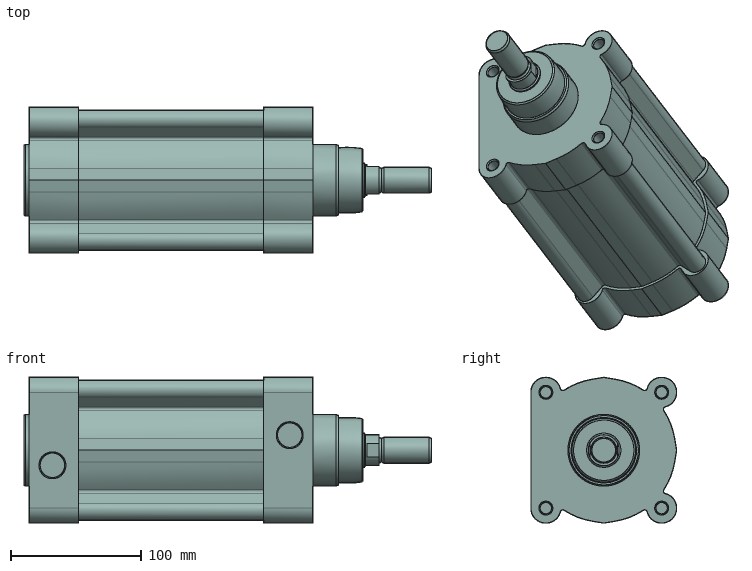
import cadquery as cq
import math

TOTAL_LENGTH = 313.0
REAR_CAP_START = 4.0
CAP_LENGTH = 38.0
BARREL_LENGTH = 142.0
BARREL_START = REAR_CAP_START + CAP_LENGTH
FRONT_CAP_START = BARREL_START + BARREL_LENGTH
FRONT_CAP_END = FRONT_CAP_START + CAP_LENGTH

RIDGE_HALF_SPAN = 9.0

HALF_WIDTH = 56.0
CAP_LUG_RADIUS = 11.5
LUG_OFFSET = HALF_WIDTH - CAP_LUG_RADIUS
CAP_CORNER_FILLET = 2.0
FLAT_SIDE_DEPTH = 1.5 * CAP_LUG_RADIUS

BARREL_HALF_WIDTH = 53.8
RAIL_RADIUS = 7.5
RAIL_OFFSET = BARREL_HALF_WIDTH - RAIL_RADIUS
BARREL_CORNER_FILLET = 2.2

SCREW_HOLE_RADIUS = 4.5
SCREW_HOLE_DEPTH = 25.0
SCREW_MOUTH_RADIUS = 5.3
SCREW_MOUTH_DEPTH = 1.0

PORT_RADIUS = 9.5
PORT_DEPTH = 25.0
PORT_MOUTH_RADIUS = 10.3
PORT_MOUTH_DEPTH = 2.0
PORT_INSET = 17.8
PORT_HEIGHT = 11.5

BOSS_RADIUS = 27.5
REAR_BOSS_TAPER_LENGTH = 1.3
REAR_BOSS_TAPER_DEPTH = 0.5
NOSE_CHAMFER_START = 239.8
NOSE_CHAMFER_END = 241.5
NOSE_CHAMFER_RADIUS = 26.5
COLLAR_BASE_RADIUS = 25.0
COLLAR_CROWN_X = 249.0
COLLAR_CROWN_RADIUS = 25.5
COLLAR_RIM_X = 259.5
COLLAR_RIM_RADIUS = 24.5
COLLAR_END_X = 260.5
COLLAR_END_RADIUS = 23.2
LIP_RADIUS = 13.0
LIP_TAPER_X = 261.5
LIP_END_X = 262.3

ROD_RADIUS = 12.0
ROD_SHOULDER_X = 272.5
FLAT_START_X = 263.2
FLAT_HALF_WIDTH = 10.5
NECK_X = 274.5
NECK_RADIUS = 9.0
THREAD_START_X = 276.5
THREAD_RADIUS = 10.0
THREAD_CHAMFER_LENGTH = 2.0
THREAD_CHAMFER_DEPTH = 1.0

EDGE_TOLERANCE = 0.03

CORNERS = [(y, z) for y in (-1, 1) for z in (-1, 1)]


def ridge_angle(crest_height):
    """Angle about X from a crest to the tangent point of its flats (radians)."""
    return math.asin(2 * RIDGE_HALF_SPAN / crest_height) / 2


def round_radius_under(crest_height):
    """Radius of the round whose tangent flats meet at the crest height."""
    return crest_height * math.cos(ridge_angle(crest_height))


def ridged_cylinder(crest_height, start, length):
    """Cylinder with four shallow ridges, each ridge made of two flats tangent to the round."""
    radius = round_radius_under(crest_height)
    tangent_height = radius * math.cos(ridge_angle(crest_height))
    body = cq.Workplane("YZ", origin=(start, 0, 0)).circle(radius).extrude(length)
    ridge = (
        cq.Workplane("YZ", origin=(start, 0, 0))
        .polyline([
            (0, 0),
            (RIDGE_HALF_SPAN, tangent_height),
            (0, crest_height),
            (-RIDGE_HALF_SPAN, tangent_height),
        ])
        .close()
        .extrude(length)
    )
    for quarter in range(4):
        body = body.union(ridge.rotate((0, 0, 0), (1, 0, 0), 90 * quarter))
    return body


def revolve_profile(profile):
    """Turn a closed (x, radius) profile about the X axis."""
    return profile.close().revolve(360, (0, 0, 0), (1, 0, 0))


def fillet_inner_corners(body, round_radius, fillet_radius):
    """Round the lengthwise edges where the lugs meet the round body, leaving the ridge edges sharp."""
    ridge_clearance = round_radius / 3

    def is_inner_corner(edge):
        centre = edge.Center()
        on_round = abs(math.hypot(centre.y, centre.z) - round_radius) < EDGE_TOLERANCE
        clear_of_ridges = min(abs(centre.y), abs(centre.z)) > ridge_clearance
        return on_round and clear_of_ridges

    corners = body.edges("|X").filter(is_inner_corner)
    return corners.fillet(fillet_radius)


def make_cap_block(start):
    """Round block with four lugs and one flat side facing -Y."""
    block = ridged_cylinder(HALF_WIDTH, start, CAP_LENGTH)
    for y_side, z_side in CORNERS:
        lug = (
            cq.Workplane("YZ", origin=(start, y_side * LUG_OFFSET, z_side * LUG_OFFSET))
            .circle(CAP_LUG_RADIUS)
            .extrude(CAP_LENGTH)
        )
        block = block.union(lug)
    flat_side = cq.Workplane("XY").box(
        CAP_LENGTH, FLAT_SIDE_DEPTH, 2 * LUG_OFFSET, centered=(False, False, True)
    )
    block = block.union(flat_side.translate((start, -HALF_WIDTH, 0)))
    return fillet_inner_corners(block, round_radius_under(HALF_WIDTH), CAP_CORNER_FILLET)


def tapered_mouth_hole(position, direction, radius, depth, mouth_radius, mouth_depth):
    """Solid to cut away for a blind hole that widens at its mouth."""
    bore = cq.Solid.makeCylinder(radius, depth, position, direction)
    mouth = cq.Solid.makeCone(mouth_radius, radius, mouth_depth, position, direction)
    return bore.fuse(mouth)


def add_screw_holes(cap, outer_face_x, inward):
    """Blind screw holes in the four lugs; inward is the X direction into the cap."""
    direction = cq.Vector(inward, 0, 0)
    for y_side, z_side in CORNERS:
        position = cq.Vector(outer_face_x, y_side * LUG_OFFSET, z_side * LUG_OFFSET)
        hole = tapered_mouth_hole(
            position, direction, SCREW_HOLE_RADIUS, SCREW_HOLE_DEPTH, SCREW_MOUTH_RADIUS, SCREW_MOUTH_DEPTH
        )
        cap = cap.cut(hole)
    return cap


def add_port(cap, port_x, port_z):
    """Air port drilled from the flat side of a cap."""
    position = cq.Vector(port_x, -HALF_WIDTH, port_z)
    direction = cq.Vector(0, 1, 0)
    port = tapered_mouth_hole(
        position, direction, PORT_RADIUS, PORT_DEPTH, PORT_MOUTH_RADIUS, PORT_MOUTH_DEPTH
    )
    return cap.cut(port)


def make_rear_cap():
    """End cap with a centring boss, screw holes and the lower air port."""
    cap = make_cap_block(REAR_CAP_START)
    boss = revolve_profile(
        cq.Workplane("XY")
        .lineTo(0, BOSS_RADIUS - REAR_BOSS_TAPER_DEPTH)
        .lineTo(REAR_BOSS_TAPER_LENGTH, BOSS_RADIUS)
        .lineTo(REAR_CAP_START, BOSS_RADIUS)
        .lineTo(REAR_CAP_START, 0)
    )
    cap = cap.union(boss)
    cap = add_screw_holes(cap, REAR_CAP_START, 1)
    return add_port(cap, REAR_CAP_START + PORT_INSET, -PORT_HEIGHT)


def make_nose():
    """Stepped nose with a crowned collar and a tapered wiper lip around the rod."""
    return revolve_profile(
        cq.Workplane("XY")
        .moveTo(FRONT_CAP_END, 0)
        .lineTo(FRONT_CAP_END, BOSS_RADIUS)
        .lineTo(NOSE_CHAMFER_START, BOSS_RADIUS)
        .lineTo(NOSE_CHAMFER_END, NOSE_CHAMFER_RADIUS)
        .lineTo(NOSE_CHAMFER_END, COLLAR_BASE_RADIUS)
        .threePointArc((COLLAR_CROWN_X, COLLAR_CROWN_RADIUS), (COLLAR_RIM_X, COLLAR_RIM_RADIUS))
        .lineTo(COLLAR_END_X, COLLAR_END_RADIUS)
        .lineTo(COLLAR_END_X, LIP_RADIUS)
        .lineTo(LIP_TAPER_X, LIP_RADIUS)
        .lineTo(LIP_END_X, ROD_RADIUS)
        .lineTo(LIP_END_X, 0)
    )


def make_front_cap():
    """End cap with the nose, a bore for the rod, screw holes and the upper air port."""
    cap = make_cap_block(FRONT_CAP_START)
    cap = cap.union(make_nose())
    rod_bore = (
        cq.Workplane("YZ", origin=(FRONT_CAP_START, 0, 0))
        .circle(ROD_RADIUS)
        .extrude(LIP_END_X - FRONT_CAP_START)
    )
    cap = cap.cut(rod_bore)
    cap = add_screw_holes(cap, FRONT_CAP_END, -1)
    return add_port(cap, FRONT_CAP_END - PORT_INSET, PORT_HEIGHT)


def make_barrel():
    """Round barrel with four corner rails standing on parallel-sided webs."""
    barrel = ridged_cylinder(BARREL_HALF_WIDTH, BARREL_START, BARREL_LENGTH)
    rail_distance = RAIL_OFFSET * math.sqrt(2)
    rail = (
        cq.Workplane("YZ", origin=(BARREL_START, 0, 0))
        .moveTo(0, -RAIL_RADIUS)
        .lineTo(rail_distance, -RAIL_RADIUS)
        .threePointArc((rail_distance + RAIL_RADIUS, 0), (rail_distance, RAIL_RADIUS))
        .lineTo(0, RAIL_RADIUS)
        .close()
        .extrude(BARREL_LENGTH)
    )
    for quarter in range(4):
        barrel = barrel.union(rail.rotate((0, 0, 0), (1, 0, 0), 45 + 90 * quarter))
    return fillet_inner_corners(barrel, round_radius_under(BARREL_HALF_WIDTH), BARREL_CORNER_FILLET)


def make_piston_rod():
    """Rod with two wrench flats, a relief neck and a chamfered thread end."""
    rod = revolve_profile(
        cq.Workplane("XY")
        .moveTo(FRONT_CAP_START, 0)
        .lineTo(FRONT_CAP_START, ROD_RADIUS)
        .lineTo(ROD_SHOULDER_X, ROD_RADIUS)
        .lineTo(ROD_SHOULDER_X, THREAD_RADIUS)
        .lineTo(NECK_X, NECK_RADIUS)
        .lineTo(THREAD_START_X, THREAD_RADIUS)
        .lineTo(TOTAL_LENGTH - THREAD_CHAMFER_LENGTH, THREAD_RADIUS)
        .lineTo(TOTAL_LENGTH, THREAD_RADIUS - THREAD_CHAMFER_DEPTH)
        .lineTo(TOTAL_LENGTH, 0)
    )
    flat_length = ROD_SHOULDER_X - FLAT_START_X
    for side in (-1, 1):
        flat_cut = cq.Workplane("XY").box(
            flat_length, ROD_RADIUS, 2 * ROD_RADIUS, centered=(False, True, True)
        )
        flat_cut = flat_cut.translate((FLAT_START_X, side * (FLAT_HALF_WIDTH + ROD_RADIUS / 2), 0))
        rod = rod.cut(flat_cut)
    return rod


rear_cap = make_rear_cap()
barrel = make_barrel()
front_cap = make_front_cap()
piston_rod = make_piston_rod()

result = cq.Compound.makeCompound([rear_cap.val(), barrel.val(), front_cap.val(), piston_rod.val()])